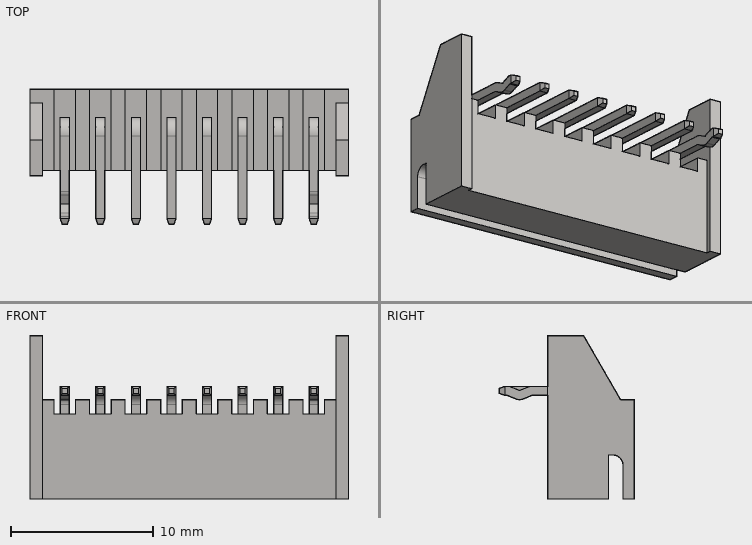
import cadquery as cq
import math


LENGTH = 22.4
BODY_HEIGHT = 7.0
BODY_DEPTH = 5.71

PIN_COUNT = 8
ROW_LENGTH = 17.5
PITCH = ROW_LENGTH / (PIN_COUNT - 1)
PIN_SIZE = 0.65

SLOT_WIDTH = 1.5
SLOT_FLOOR_Z = 5.98

WALL_THICKNESS = 0.9
WALL_HEIGHT = 11.5
WALL_DEPTH = 6.1
WALL_TOP_DEPTH = 2.53
WALL_SLOPE_FOOT = 0.96

CHANNEL_BACK = 0.8
CHANNEL_WIDTH = 1.0
CHANNEL_HEIGHT = 3.1
CHANNEL_RADIUS = 0.7

PIN_TOP_Z = 7.93
PIN_BACK = 2.0
PIN_REACH = 9.5
BEND_INNER_RADIUS = 0.65
TIP_LENGTH = 0.4
TIP_SIZE = 0.35

KINK_START = 7.2
KINK_HALF_LENGTH = 0.87
KINK_ANGLE = math.radians(22)

PIN_BOTTOM_Z = PIN_TOP_Z - PIN_SIZE
PIN_SHOULDER = PIN_REACH - TIP_LENGTH
BEND_OUTER_RADIUS = BEND_INNER_RADIUS + PIN_SIZE
pin_positions = [(i - (PIN_COUNT - 1) / 2) * PITCH for i in range(PIN_COUNT)]


def make_end_wall(start_x):
    """Upright end wall with a sloping back edge above the body."""
    outline = [
        (0, 0),
        (-WALL_DEPTH, 0),
        (-WALL_DEPTH, WALL_HEIGHT),
        (WALL_TOP_DEPTH - WALL_DEPTH, WALL_HEIGHT),
        (-WALL_SLOPE_FOOT, BODY_HEIGHT),
        (0, BODY_HEIGHT),
    ]
    return cq.Workplane("YZ", origin=(start_x, 0, 0)).polyline(outline).close().extrude(WALL_THICKNESS)


def make_channel():
    """Cutter for the bottom channel, rounded at its upper back corner."""
    return (
        cq.Workplane("YZ", origin=(-LENGTH / 2, 0, 0))
        .moveTo(-CHANNEL_BACK, 0)
        .lineTo(-CHANNEL_BACK, CHANNEL_HEIGHT - CHANNEL_RADIUS)
        .radiusArc((-CHANNEL_BACK - CHANNEL_RADIUS, CHANNEL_HEIGHT), -CHANNEL_RADIUS)
        .lineTo(-CHANNEL_BACK - CHANNEL_WIDTH, CHANNEL_HEIGHT)
        .lineTo(-CHANNEL_BACK - CHANNEL_WIDTH, 0)
        .close()
        .extrude(LENGTH)
    )


def make_housing():
    body = cq.Workplane("XY").box(LENGTH, BODY_DEPTH, BODY_HEIGHT, centered=(True, False, False))
    body = body.translate((0, -BODY_DEPTH, 0))
    slots = (
        cq.Workplane("XY", origin=(0, -BODY_DEPTH / 2, SLOT_FLOOR_Z))
        .pushPoints([(x, 0) for x in pin_positions])
        .rect(SLOT_WIDTH, BODY_DEPTH)
        .extrude(BODY_HEIGHT - SLOT_FLOOR_Z)
    )
    left_wall = make_end_wall(-LENGTH / 2)
    right_wall = make_end_wall(LENGTH / 2 - WALL_THICKNESS)
    return body.cut(slots).union(left_wall).union(right_wall).cut(make_channel())


def add_kink_top(profile):
    """Upper edge of the kink, drawn toward the front: round at its shoulders, sharp in the valley."""
    valley = KINK_START + KINK_HALF_LENGTH
    end = valley + KINK_HALF_LENGTH
    arc_run = PIN_SIZE * math.sin(KINK_ANGLE)
    arc_z = PIN_BOTTOM_Z + PIN_SIZE * math.cos(KINK_ANGLE)
    return (
        profile.lineTo(-KINK_START, PIN_TOP_Z)
        .radiusArc((-KINK_START - arc_run, arc_z), -PIN_SIZE)
        .lineTo(-valley, kink_valley_z())
        .lineTo(-end + arc_run, arc_z)
        .radiusArc((-end, PIN_TOP_Z), -PIN_SIZE)
    )


def add_kink_bottom(profile):
    """Lower edge of the kink, drawn toward the back: a round belly about the valley above it."""
    valley = KINK_START + KINK_HALF_LENGTH
    arc_run = PIN_SIZE * math.sin(KINK_ANGLE)
    arc_z = kink_valley_z() - PIN_SIZE * math.cos(KINK_ANGLE)
    return (
        profile.lineTo(-valley - KINK_HALF_LENGTH, PIN_BOTTOM_Z)
        .lineTo(-valley - arc_run, arc_z)
        .threePointArc((-valley, kink_valley_z() - PIN_SIZE), (-valley + arc_run, arc_z))
        .lineTo(-KINK_START, PIN_BOTTOM_Z)
    )


def kink_valley_z():
    """Height of the valley, where the two sloping stretches of the upper edge meet."""
    slope_run = KINK_HALF_LENGTH - PIN_SIZE * math.sin(KINK_ANGLE)
    slope_top = PIN_BOTTOM_Z + PIN_SIZE * math.cos(KINK_ANGLE)
    return slope_top - slope_run * math.tan(KINK_ANGLE)


def make_pin_tip(x):
    """Square tapered tip at the front end of a pin."""
    return (
        cq.Workplane("XZ", origin=(x, -PIN_SHOULDER, PIN_TOP_Z - PIN_SIZE / 2))
        .rect(PIN_SIZE, PIN_SIZE)
        .workplane(offset=TIP_LENGTH)
        .rect(TIP_SIZE, TIP_SIZE)
        .loft()
    )


def make_pin(x, kinked):
    """Square pin that stands on a slot floor and bends toward the front."""
    bend_start_z = PIN_TOP_Z - BEND_OUTER_RADIUS
    profile = (
        cq.Workplane("YZ", origin=(x - PIN_SIZE / 2, 0, 0))
        .moveTo(-PIN_BACK, SLOT_FLOOR_Z)
        .lineTo(-PIN_BACK, bend_start_z)
        .radiusArc((-PIN_BACK - BEND_OUTER_RADIUS, PIN_TOP_Z), -BEND_OUTER_RADIUS)
    )
    if kinked:
        profile = add_kink_top(profile)
    profile = profile.lineTo(-PIN_SHOULDER, PIN_TOP_Z).lineTo(-PIN_SHOULDER, PIN_BOTTOM_Z)
    if kinked:
        profile = add_kink_bottom(profile)
    shank = (
        profile.lineTo(-PIN_BACK - BEND_OUTER_RADIUS, PIN_BOTTOM_Z)
        .radiusArc((-PIN_BACK - PIN_SIZE, bend_start_z), BEND_INNER_RADIUS)
        .lineTo(-PIN_BACK - PIN_SIZE, SLOT_FLOOR_Z)
        .close()
        .extrude(PIN_SIZE)
    )
    return shank.union(make_pin_tip(x))


housing = make_housing()
end_positions = (pin_positions[0], pin_positions[-1])
pins = [make_pin(x, kinked=x in end_positions) for x in pin_positions]

result = cq.Compound.makeCompound([housing.val(), *[pin.val() for pin in pins]])